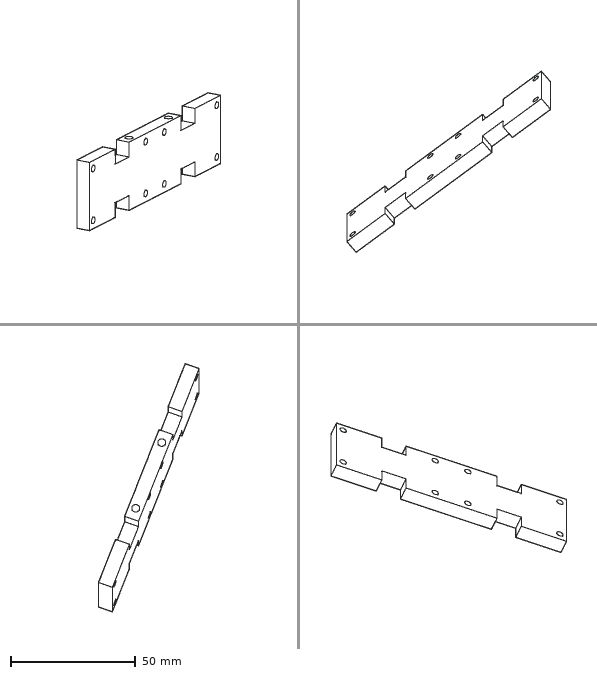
import cadquery as cq
import math

thickness = 6.0
length = 100.0
height = 29.0

notch_inner_y = 19.8
notch_width = 10.5
notch_depth = 6.3

through_diameter = 2.7
outer_hole_y = 47.1
inner_hole_y = 7.1
through_hole_row_spacing = 22.0
through_hole_rise = 0.1

edge_hole_diameter = 3.2
edge_hole_depth = 10.0
edge_hole_y = 15.0
drill_point_angle = 118.0


def notch(side_y, side_z):
    """Cutter for one notch; the sides are +1 or -1."""
    center_y = side_y * (notch_inner_y + notch_width / 2)
    center_z = side_z * (height - notch_depth) / 2
    return cq.Workplane("XY").box(thickness, notch_width, notch_depth).translate((0, center_y, center_z))


def through_holes():
    """Cutters for the eight holes along X."""
    points = [
        (side_y * hole_y, through_hole_rise + side_z * through_hole_row_spacing / 2)
        for hole_y in (outer_hole_y, inner_hole_y)
        for side_y in (-1, 1)
        for side_z in (-1, 1)
    ]
    return (
        cq.Workplane("YZ")
        .pushPoints(points)
        .circle(through_diameter / 2)
        .extrude(thickness / 2, both=True)
    )


def edge_holes():
    """Cutters for the two drilled holes, each ending in a drill-point cone."""
    radius = edge_hole_diameter / 2
    point_depth = radius / math.tan(math.radians(drill_point_angle / 2))
    top = height / 2
    bottom = top - edge_hole_depth
    drill = (
        cq.Workplane("XZ")
        .polyline([(0, top), (radius, top), (radius, bottom), (0, bottom - point_depth)])
        .close()
        .revolve(360, (0, 0), (0, 1))
    )
    return drill.translate((0, -edge_hole_y, 0)).union(drill.translate((0, edge_hole_y, 0)))


result = cq.Workplane("XY").box(thickness, length, height)
for side_y in (-1, 1):
    for side_z in (-1, 1):
        result = result.cut(notch(side_y, side_z))
result = result.cut(through_holes()).cut(edge_holes())